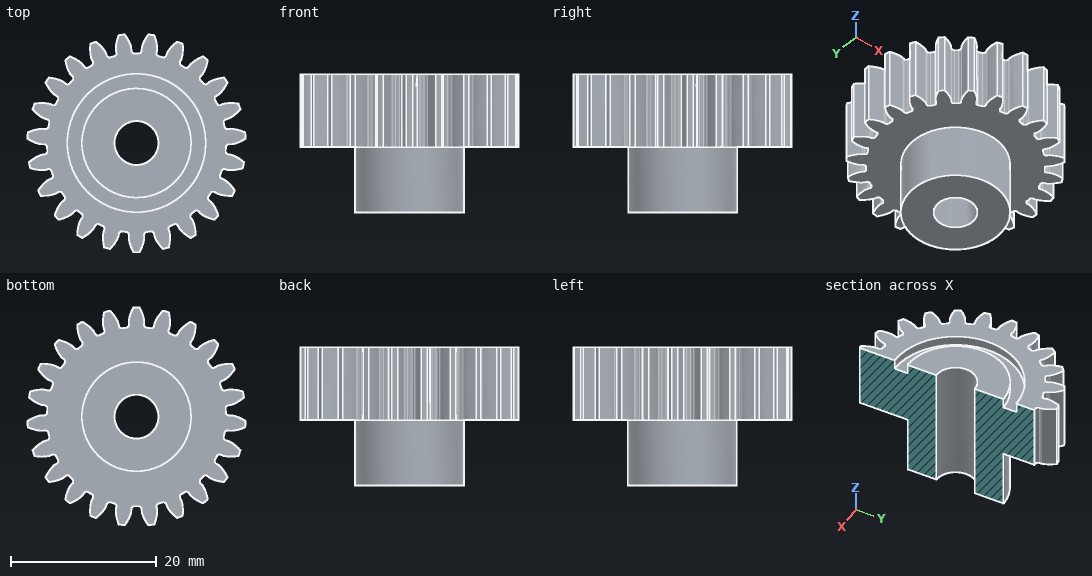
import cadquery as cq
import math

teeth = 23
overall_width = 29.98
pressure_angle = math.radians(20)
clearance_in_modules = 0.25
root_fillet = 0.4
gear_width = 10.0

hub_diameter = 15.0
hub_length = 9.0
bore_diameter = 6.0
recess_diameter = 19.0
recess_depth = 1.5

tooth_pitch = 2 * math.pi / teeth
first_tooth_angle = -math.pi / 2
flank_samples = 7
total_height = hub_length + gear_width


def polar(radius, angle):
    return (radius * math.cos(angle), radius * math.sin(angle))


def involute(angle):
    return math.tan(angle) - angle


def half_tooth_angle(radius_ratio):
    """Angle from the tooth centre line to the flank, at a radius given in base radii."""
    flank_angle = math.acos(1 / radius_ratio)
    return tooth_pitch / 4 + involute(pressure_angle) - involute(flank_angle)


tip_ratio = (teeth + 2) / (teeth * math.cos(pressure_angle))
side_tooth_angle = first_tooth_angle + round(teeth / 4) * tooth_pitch
side_corner_angle = side_tooth_angle - half_tooth_angle(tip_ratio)
tip_radius = overall_width / 2 / math.cos(side_corner_angle)

module = 2 * tip_radius / (teeth + 2)
root_clearance = clearance_in_modules * module
root_radius = tip_radius - 2 * module - root_clearance
base_radius = tip_radius / tip_ratio
base_half_angle = half_tooth_angle(1)


def flank_points(centre, side):
    """Points from base circle to tip on one flank; side is -1 or +1."""
    points = []
    for i in range(flank_samples):
        ratio = 1 + (tip_ratio - 1) * (i / (flank_samples - 1)) ** 2
        points.append(polar(base_radius * ratio, centre + side * half_tooth_angle(ratio)))
    return points


def toothed_disc():
    start = polar(root_radius, first_tooth_angle - base_half_angle)
    outline = cq.Workplane("XY").workplane(offset=hub_length).moveTo(*start)
    for i in range(teeth):
        centre = first_tooth_angle + i * tooth_pitch
        rising = flank_points(centre, -1)
        falling = flank_points(centre, 1)[::-1]
        gap_middle = polar(root_radius, centre + tooth_pitch / 2)
        gap_end = polar(root_radius, centre + tooth_pitch - base_half_angle)
        outline = (
            outline.lineTo(*rising[0])
            .spline(rising[1:], includeCurrent=True)
            .threePointArc(polar(tip_radius, centre), falling[0])
            .spline(falling[1:], includeCurrent=True)
            .lineTo(*polar(root_radius, centre + base_half_angle))
            .threePointArc(gap_middle, gap_end)
        )
    disc = outline.close().extrude(gear_width)

    corner_limit = (root_radius + base_radius) / 2
    root_corners = [
        edge
        for edge in disc.edges("|Z").vals()
        if math.hypot(edge.Center().x, edge.Center().y) < corner_limit
    ]
    return disc.newObject(root_corners).fillet(root_fillet)


def top_recess():
    return (
        cq.Workplane("XY")
        .workplane(offset=total_height - recess_depth)
        .circle(recess_diameter / 2)
        .circle(hub_diameter / 2)
        .extrude(recess_depth)
    )


hub = cq.Workplane("XY").circle(hub_diameter / 2).extrude(total_height)
bore = cq.Workplane("XY").circle(bore_diameter / 2).extrude(total_height)

result = toothed_disc().cut(top_recess()).union(hub).cut(bore)